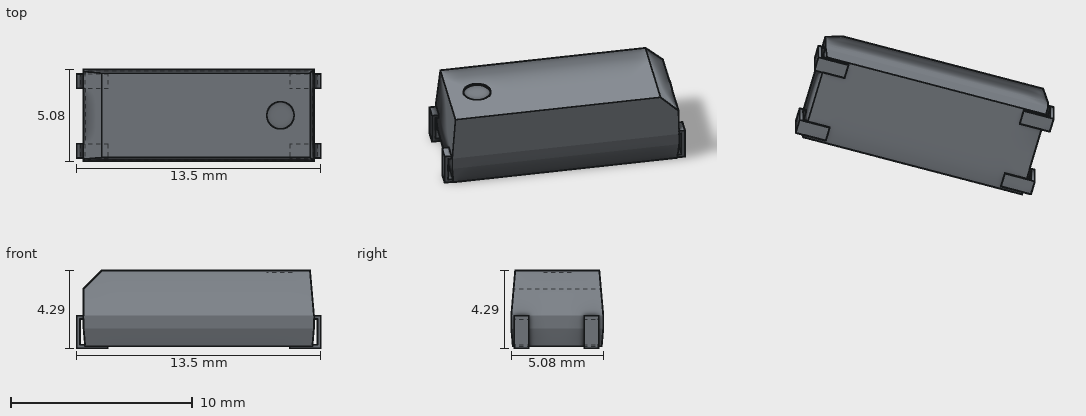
import cadquery as cq
import math

body_length = 12.7
body_width = 5.08
lead_span = 13.46
total_height = 4.29
standoff = 0.1
draft_angle = 5.0

band_bottom = 1.1
band_top = 1.8

bevel_size = 1.0

recess_diameter = 1.5
recess_depth = 0.1
recess_x = 4.5

lead_thickness = 0.2
lead_width = 0.8
lead_pitch = 3.84
lead_row_offset = -0.04
foot_length = 1.72
lead_embed = 0.5

draft_slope = math.tan(math.radians(draft_angle))
top_inset = (total_height - band_top) * draft_slope
bottom_inset = (band_bottom - standoff) * draft_slope


def rectangle_loft(z_start, start_inset, z_end, end_inset):
    """Loft between two centred rectangles, each inset from the body outline."""
    return (
        cq.Workplane("XY")
        .workplane(offset=z_start)
        .rect(body_length - 2 * start_inset, body_width - 2 * start_inset)
        .workplane(offset=z_end - z_start)
        .rect(body_length - 2 * end_inset, body_width - 2 * end_inset)
        .loft(ruled=True)
    )


def make_upper_half():
    """Upper half: vertical bevelled -X end, drafted on the other three sides."""
    half_length = body_length / 2
    half_width = body_width / 2
    side_profile = (
        cq.Workplane("XZ")
        .moveTo(-half_length, band_top)
        .lineTo(half_length, band_top)
        .lineTo(half_length - top_inset, total_height)
        .lineTo(-half_length + bevel_size, total_height)
        .lineTo(-half_length, total_height - bevel_size)
        .close()
        .extrude(half_width, both=True)
    )
    end_profile = (
        cq.Workplane("YZ")
        .moveTo(-half_width, band_top)
        .lineTo(half_width, band_top)
        .lineTo(half_width - top_inset, total_height)
        .lineTo(-half_width + top_inset, total_height)
        .close()
        .extrude(half_length, both=True)
    )
    return side_profile.intersect(end_profile)


def make_body():
    lower_half = rectangle_loft(standoff, bottom_inset, band_bottom, 0)
    band = rectangle_loft(band_bottom, 0, band_top, 0)
    recess = (
        cq.Workplane("XY", origin=(recess_x, 0, total_height))
        .circle(recess_diameter / 2)
        .extrude(-recess_depth)
    )
    return lower_half.union(band).union(make_upper_half()).cut(recess)


def make_lead(x_side, y_center):
    """C-shaped lead at one end; x_side is -1 or +1."""
    outer_x = x_side * lead_span / 2
    inner_x = x_side * (lead_span / 2 - lead_thickness)
    arm_x = x_side * (body_length / 2 - lead_embed)
    foot_x = x_side * (lead_span / 2 - foot_length)
    return (
        cq.Workplane("XZ", origin=(0, y_center, 0))
        .moveTo(foot_x, 0)
        .lineTo(outer_x, 0)
        .lineTo(outer_x, band_top)
        .lineTo(arm_x, band_top)
        .lineTo(arm_x, band_top - lead_thickness)
        .lineTo(inner_x, band_top - lead_thickness)
        .lineTo(inner_x, lead_thickness)
        .lineTo(foot_x, lead_thickness)
        .close()
        .extrude(lead_width / 2, both=True)
    )


result = make_body()
for x_side in (-1, 1):
    for y_side in (-1, 1):
        result = result.union(make_lead(x_side, lead_row_offset + y_side * lead_pitch / 2))